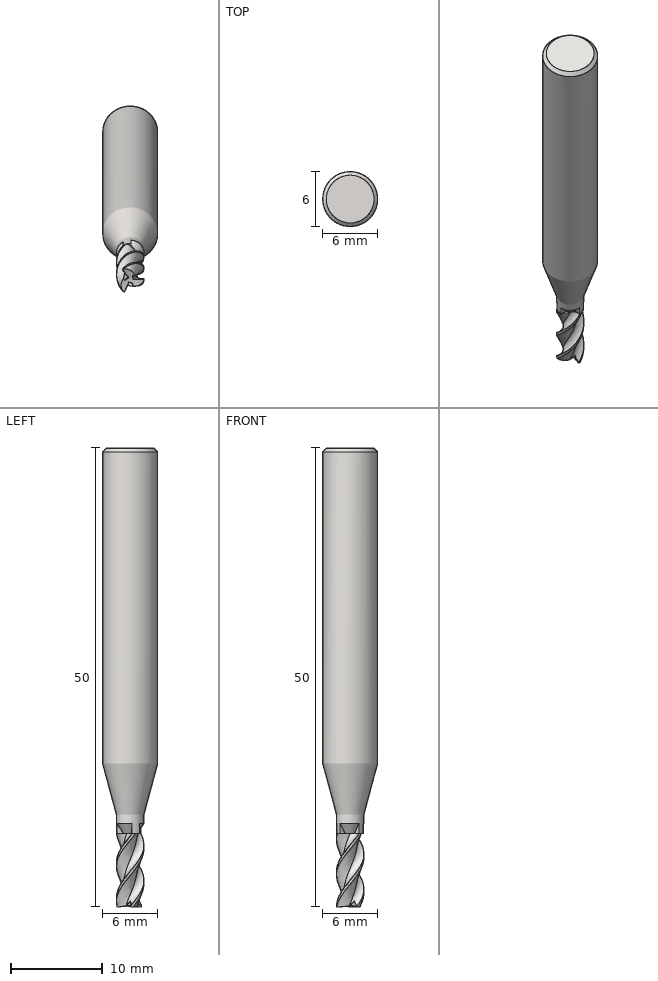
import cadquery as cq
import math

total_length = 50.0
shank_radius = 3.0
end_chamfer = 0.4
cone_top = 15.6
cone_bottom = 10.05
cutter_length = 8.0

tooth_count = 3
tooth_pitch = 360 / tooth_count
cutting_radius = 1.5
core_radius = 0.75
flute_lead = 11.5
tip_edge_angle = 58.0
land_angle = 14.0
root_angle = 80.0
back_bulge = 0.25
rake_hollow = 0.2

runout_height = 1.1
runout_angle = 85.0
outside_radius = 2.0

dish_radius = 1.35
dish_depth = 0.2
gash_height = 0.65
gash_width = 0.6
gash_start = 0.3
gash_margin = 0.25
gash_lag = 6.0


def polar(radius, angle):
    """Point at a radius and an angle in degrees."""
    return (radius * math.cos(math.radians(angle)), radius * math.sin(math.radians(angle)))


def bowed_middle(start, end, bow):
    """Middle of an arc, moved away from the chord along the outward direction."""
    x = (start[0] + end[0]) / 2
    y = (start[1] + end[1]) / 2
    stretch = 1 + bow / math.hypot(x, y)
    return (x * stretch, y * stretch)


def add_flute(sketch, edge_angle):
    """Draw the tooth back and the next rake face, starting at the end of a land."""
    heel = polar(cutting_radius, edge_angle + land_angle)
    root = polar(core_radius, edge_angle + root_angle)
    next_edge = polar(cutting_radius, edge_angle + tooth_pitch)
    sketch = sketch.threePointArc(bowed_middle(heel, root, back_bulge), root)
    return sketch.threePointArc(bowed_middle(root, next_edge, -rake_hollow), next_edge)


def make_cutter():
    """Helical cutter with a dished, gashed tip."""
    section = cq.Workplane("XY").moveTo(*polar(cutting_radius, tip_edge_angle))
    for tooth in range(tooth_count):
        edge_angle = tip_edge_angle + tooth * tooth_pitch
        section = section.threePointArc(
            polar(cutting_radius, edge_angle + land_angle / 2),
            polar(cutting_radius, edge_angle + land_angle),
        )
        section = add_flute(section, edge_angle)
    teeth = section.close().twistExtrude(cutter_length, 360 * cutter_length / flute_lead)

    dish = cq.Workplane("XY").add(cq.Solid.makeCone(dish_radius, 0, dish_depth))
    teeth = teeth.cut(dish)
    for tooth in range(tooth_count):
        teeth = teeth.cut(make_gash(tip_edge_angle + gash_lag + tooth * tooth_pitch))
    return teeth


def make_gash(face_angle):
    """Wedge-shaped clearance ahead of one end cutting edge."""
    return (
        cq.Workplane("YZ", origin=(gash_start, 0, 0))
        .polyline([(0, -gash_margin), (-gash_width, -gash_margin), (-gash_width, 0), (0, gash_height)])
        .close()
        .extrude(outside_radius)
        .rotate((0, 0, 0), (0, 0, 1), face_angle)
    )


def make_runout(edge_angle):
    """Pocket over one flute, with a conical floor rising from the core to the neck surface."""
    return (
        cq.Workplane("XZ")
        .polyline([
            (core_radius, cutter_length),
            (outside_radius, cutter_length),
            (outside_radius, cutter_length + runout_height),
            (cutting_radius, cutter_length + runout_height),
        ])
        .close()
        .revolve(runout_angle, (0, 0, 0), (0, 1, 0))
        .rotate((0, 0, 0), (0, 0, 1), edge_angle - runout_angle)
    )


def make_shank():
    """Chamfered shank, cone and neck, with the flutes running out in the neck."""
    shank = (
        cq.Workplane("YZ")
        .polyline([
            (0, cutter_length),
            (-cutting_radius, cutter_length),
            (-cutting_radius, cone_bottom),
            (-shank_radius, cone_top),
            (-shank_radius, total_length - end_chamfer),
            (-shank_radius + end_chamfer, total_length),
            (0, total_length),
        ])
        .close()
        .revolve(360, (0, 0, 0), (0, 1, 0))
    )
    top_edge_angle = tip_edge_angle + 360 * cutter_length / flute_lead
    for tooth in range(tooth_count):
        shank = shank.cut(make_runout(top_edge_angle + tooth * tooth_pitch))
    return shank


cutter = make_cutter()
shank = make_shank()
result = cq.Compound.makeCompound([cutter.val(), shank.val()])